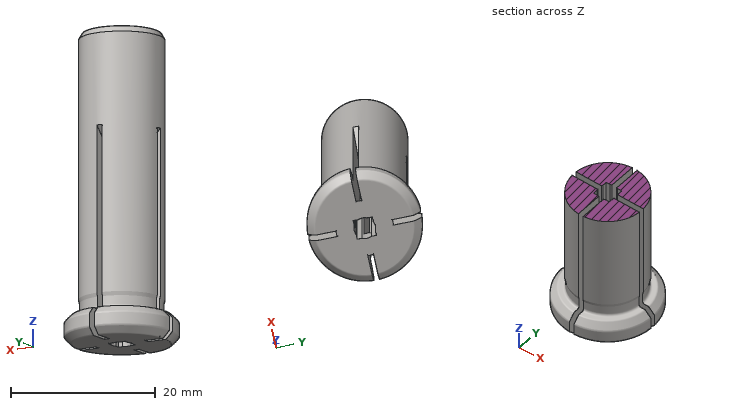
import cadquery as cq
import math

total_height = 44.0
body_radius = 12.0 / 2
flange_radius = 16.0 / 2
flange_height = 4.0
flange_chamfer = 1.05
edge_rounding = 0.4

tip_chamfer_height = 0.93
tip_chamfer_angle = 30.0
tip_chamfer_width = tip_chamfer_height * math.tan(math.radians(tip_chamfer_angle))

neck_radius = 5.85
neck_start = 5.65
neck_taper_end = 6.2
neck_fillet = 0.4

bore_radius = 7.5 / 2
bore_floor = 30.0
bore_point_angle = 90.0
bore_chamfer = 0.35

hole_radius = 3.0 / 2
square_side = 2.7

slot_count = 4
slot_width = 0.8
slot_top = 30.0
slot_floor_foot = 4.0


def make_body():
    """Turned outside shape with rounded flange and tip edges."""
    tip_radius = body_radius - tip_chamfer_width
    flange_face_radius = flange_radius - flange_chamfer
    shoulder_radius = neck_radius + neck_fillet
    fillet_middle = neck_fillet * (1 - math.sqrt(0.5))
    body = (
        cq.Workplane("XZ")
        .lineTo(flange_face_radius, 0)
        .lineTo(flange_radius, flange_chamfer)
        .lineTo(flange_radius, flange_height - flange_chamfer)
        .lineTo(flange_face_radius, flange_height)
        .lineTo(shoulder_radius, flange_height)
        .threePointArc(
            (neck_radius + fillet_middle, flange_height + fillet_middle),
            (neck_radius, flange_height + neck_fillet),
        )
        .lineTo(neck_radius, neck_start)
        .lineTo(body_radius, neck_taper_end)
        .lineTo(body_radius, total_height - tip_chamfer_height)
        .lineTo(tip_radius, total_height)
        .lineTo(0, total_height)
        .close()
        .revolve(360, (0, 0, 0), (0, 1, 0))
    )
    rounded_radii = (flange_face_radius, flange_radius, tip_radius)
    rounded_edges = body.edges("%CIRCLE").filter(
        lambda edge: any(math.isclose(edge.radius(), radius) for radius in rounded_radii)
    )
    return rounded_edges.fillet(edge_rounding)


def make_bore():
    """Chamfered blind bore ending in a cone that runs to the axis."""
    point_depth = bore_radius / math.tan(math.radians(bore_point_angle / 2))
    return (
        cq.Workplane("XZ")
        .moveTo(0, bore_floor - point_depth)
        .lineTo(bore_radius, bore_floor)
        .lineTo(bore_radius, total_height - bore_chamfer)
        .lineTo(bore_radius + bore_chamfer, total_height)
        .lineTo(0, total_height)
        .close()
        .revolve(360, (0, 0, 0), (0, 1, 0))
    )


def make_through_hole():
    """Round hole united with the square hole."""
    drilling = cq.Workplane("XY").circle(hole_radius).extrude(bore_floor)
    square = cq.Workplane("XY").rect(square_side, square_side).extrude(bore_floor)
    return drilling.union(square)


def make_slot():
    """One slot on the +X side, from the axis outwards and open at the foot."""
    outer = flange_radius + slot_width
    return (
        cq.Workplane("XZ")
        .moveTo(0, slot_floor_foot)
        .lineTo(slot_floor_foot, 0)
        .lineTo(outer, 0)
        .lineTo(outer, slot_top + outer - body_radius)
        .lineTo(0, slot_top - body_radius)
        .close()
        .extrude(slot_width / 2, both=True)
    )


result = make_body().cut(make_bore()).cut(make_through_hole())
for index in range(slot_count):
    turn = index * 360 / slot_count
    result = result.cut(make_slot().rotate((0, 0, 0), (0, 0, 1), turn))